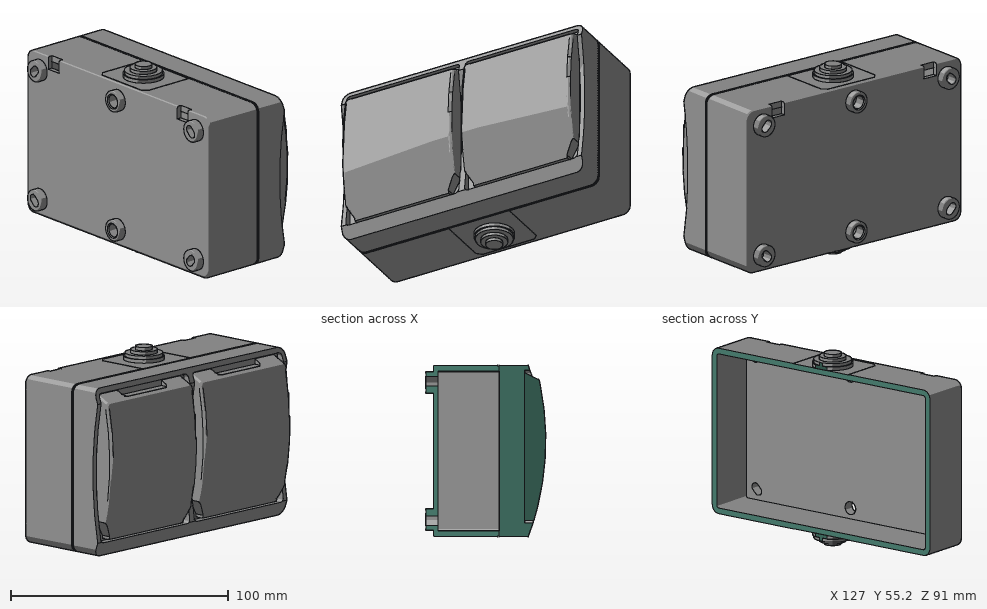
import cadquery as cq
import math


LENGTH = 127
HEIGHT = 79.0
CORNER_RADIUS = 4.1
BACK_EDGE_RADIUS = 1.0
SIDE_WALL = 2.9
BACK_WALL = 2.3
BASE_DEPTH = 29.6
GROOVE_WIDTH = 0.8
GROOVE_DEPTH = 0.4
COVER_BACK = BASE_DEPTH + GROOVE_WIDTH

COVER_EDGE_Y = 43.7
RIDGE_Y = 46.1
RIDGE_Z = 32.6
HOLLOW_Y = 43.0

LID_WIDTH = 57.7
LID_CENTRE_X = 31.4
LID_SEAT_Y = 42.2
LID_PEAK_Y = 51.8
LID_PEAK_Z = 5.1
LID_CURVE_RADIUS = 127
LID_TOP_Z = 32.8
LID_TOP_LEAN = 0.5
LID_BOTTOM_Z = -32.0
LID_CORNER_RADIUS = 2.0
LID_EDGE_RADIUS = 1.3
LID_CUT_TOP_Z = -23.4
LID_CUT_BOTTOM_Z = -30.6
LID_CUT_WIDTH = 4.1
THUMB_NOTCH_WIDTH = 29.5
THUMB_NOTCH_Y = 47
THUMB_NOTCH_Z = 33.5
THUMB_NOTCH_RADIUS = 2.5
LID_GAP = 1.0
RECESS_TOP_Z = 37.1
RECESS_RADIUS = 1.9

FOOT_RADIUS = 5.1
FOOT_HEIGHT = 3.4
FOOT_EDGE_RADIUS = 0.5
FOOT_X = 54.5
FOOT_Z = 31.5
FOOT_HOLE_DEPTH = FOOT_HEIGHT + BACK_WALL
SCREW_HOLE_RADIUS = 3.0
SCREW_HOLE_CHAMFER = 0.5
SLOT_LENGTH = 6.2
SLOT_WIDTH = 4.1
SLOT_ANGLE = 45

ENTRY_Y = 15.5
PANEL_WIDTH = 32.0
PANEL_BOTTOM_Y = 2.3
PANEL_CHAMFER = 2.3
PANEL_DEPTH = 0.1
GROMMET_RADII = (9.4, 8.8, 6.2, 4.0)
GROMMET_SPAN = 91.0
GROMMET_TOP_Z = GROMMET_SPAN / 2
GROMMET_SEAT_Z = HEIGHT / 2 - PANEL_DEPTH
FIRST_STEP_Z = 41.0

NOTCH_X = 45.0
NOTCH_WIDTH = 7.4
NOTCH_BOTTOM_Z = 33.4


def plane_at(y):
    """Plane facing +Y with local axes along -X and Z."""
    return cq.Plane(origin=(0, y, 0), xDir=(-1, 0, 0), normal=(0, 1, 0))


def box_between(x, y, z):
    """Box spanning the given (low, high) ranges."""
    size = [high - low for low, high in (x, y, z)]
    return cq.Workplane("XY").box(*size, centered=False).translate((x[0], y[0], z[0]))


def rounded_block(back, front, inset=0):
    """Enclosure outline, shrunk by the inset, running from back to front in Y."""
    return (
        cq.Workplane(plane_at(back))
        .rect(LENGTH - 2 * inset, HEIGHT - 2 * inset)
        .extrude(front - back)
        .edges("|Y")
        .fillet(CORNER_RADIUS - inset)
    )


def foot(x, z):
    post = cq.Workplane(plane_at(-FOOT_HEIGHT)).circle(FOOT_RADIUS).extrude(FOOT_HEIGHT)
    return post.faces("<Y").edges().fillet(FOOT_EDGE_RADIUS).translate((x, 0, z))


def screw_hole(z):
    hole = cq.Workplane(plane_at(-FOOT_HEIGHT)).circle(SCREW_HOLE_RADIUS).extrude(FOOT_HOLE_DEPTH)
    countersink = (
        cq.Workplane(plane_at(-FOOT_HEIGHT))
        .circle(SCREW_HOLE_RADIUS + SCREW_HOLE_CHAMFER)
        .workplane(offset=SCREW_HOLE_CHAMFER)
        .circle(SCREW_HOLE_RADIUS)
        .loft()
    )
    return hole.union(countersink).translate((0, 0, z))


def slanted_slot(x_side, z_side):
    """Slot lying across the diagonal that points to its own corner."""
    slot = (
        cq.Workplane(plane_at(-FOOT_HEIGHT))
        .slot2D(SLOT_LENGTH, SLOT_WIDTH, x_side * z_side * SLOT_ANGLE)
        .extrude(FOOT_HOLE_DEPTH)
    )
    return slot.translate((x_side * FOOT_X, 0, z_side * FOOT_Z))


def entry_panel():
    """Shallow recess around the upper cable entry, open towards the cover."""
    panel = box_between(
        (-PANEL_WIDTH / 2, PANEL_WIDTH / 2),
        (PANEL_BOTTOM_Y, COVER_BACK),
        (GROMMET_SEAT_Z, HEIGHT / 2),
    )
    return panel.edges("|Z and <Y").chamfer(PANEL_CHAMFER)


def clip_notch(x):
    """Cut through the back wall, leaving a shelf in the side wall beyond the cavity."""
    return box_between(
        (x - NOTCH_WIDTH / 2, x + NOTCH_WIDTH / 2),
        (0, BACK_WALL),
        (NOTCH_BOTTOM_Z, HEIGHT / 2),
    )


def make_base():
    base = rounded_block(0, BASE_DEPTH).faces("<Y").edges().fillet(BACK_EDGE_RADIUS)
    base = base.union(rounded_block(BASE_DEPTH, COVER_BACK, GROOVE_DEPTH))
    base = base.cut(rounded_block(BACK_WALL, COVER_BACK, SIDE_WALL))
    for z_side in (-1, 1):
        for x in (-FOOT_X, 0, FOOT_X):
            base = base.union(foot(x, z_side * FOOT_Z))
        base = base.cut(screw_hole(z_side * FOOT_Z))
        for x_side in (-1, 1):
            base = base.cut(slanted_slot(x_side, z_side))
    panel = entry_panel()
    base = base.cut(panel).cut(panel.mirror("XY"))
    for x in (-NOTCH_X, NOTCH_X):
        base = base.cut(clip_notch(x))
    return base


def lid_recess(x):
    recess = box_between(
        (x - LID_WIDTH / 2 - LID_GAP, x + LID_WIDTH / 2 + LID_GAP),
        (LID_SEAT_Y, LID_PEAK_Y),
        (LID_BOTTOM_Z - LID_GAP, RECESS_TOP_Z),
    )
    return recess.edges("|Y").fillet(RECESS_RADIUS)


def make_cover():
    profile = (
        cq.Workplane("YZ")
        .moveTo(COVER_BACK, -HEIGHT / 2)
        .lineTo(COVER_EDGE_Y, -HEIGHT / 2)
        .lineTo(RIDGE_Y, -RIDGE_Z)
        .threePointArc((HOLLOW_Y, 0), (RIDGE_Y, RIDGE_Z))
        .lineTo(COVER_EDGE_Y, HEIGHT / 2)
        .lineTo(COVER_BACK, HEIGHT / 2)
        .close()
        .extrude(LENGTH / 2, both=True)
    )
    cover = profile.intersect(rounded_block(COVER_BACK, RIDGE_Y))
    for x in (-LID_CENTRE_X, LID_CENTRE_X):
        cover = cover.cut(lid_recess(x))
    return cover


def dome_y(z):
    """Depth of the domed lid face at height z."""
    return LID_PEAK_Y - LID_CURVE_RADIUS + math.sqrt(LID_CURVE_RADIUS**2 - (z - LID_PEAK_Z) ** 2)


def lid_corner_cut():
    """Prism that slants off the lower corner on the +X side of a lid."""
    side = LID_WIDTH / 2
    return (
        cq.Workplane(plane_at(LID_SEAT_Y))
        .polyline([
            (-side, LID_CUT_TOP_Z),
            (-side + LID_CUT_WIDTH, LID_CUT_BOTTOM_Z),
            (-side + LID_CUT_WIDTH, LID_BOTTOM_Z),
            (-side, LID_BOTTOM_Z),
        ])
        .close()
        .extrude(LID_PEAK_Y - LID_SEAT_Y)
    )


def thumb_notch():
    """Upright flat cut into the leaning upper face, with rounded front corners."""
    notch = box_between(
        (-THUMB_NOTCH_WIDTH / 2, THUMB_NOTCH_WIDTH / 2),
        (LID_SEAT_Y, THUMB_NOTCH_Y),
        (THUMB_NOTCH_Z, RECESS_TOP_Z),
    )
    return notch.edges("|Z and >Y").fillet(THUMB_NOTCH_RADIUS)


def make_lid(x):
    top_y = dome_y(LID_TOP_Z)
    lid = (
        cq.Workplane("YZ")
        .moveTo(LID_SEAT_Y, LID_BOTTOM_Z)
        .lineTo(dome_y(LID_BOTTOM_Z), LID_BOTTOM_Z)
        .threePointArc((LID_PEAK_Y, LID_PEAK_Z), (top_y, LID_TOP_Z))
        .lineTo(LID_SEAT_Y, LID_TOP_Z + LID_TOP_LEAN * (top_y - LID_SEAT_Y))
        .close()
        .extrude(LID_WIDTH / 2, both=True)
    )
    upper_corners = cq.selectors.BoxSelector(
        (-LENGTH, LID_SEAT_Y, LID_TOP_Z), (LENGTH, LID_PEAK_Y, HEIGHT)
    )
    lid = lid.edges(upper_corners).edges("not |X").fillet(LID_CORNER_RADIUS)
    lid = lid.faces(">Y").edges("not <Z").fillet(LID_EDGE_RADIUS)
    corner_cut = lid_corner_cut()
    lid = lid.cut(corner_cut).cut(corner_cut.mirror("YZ"))
    return lid.cut(thumb_notch()).translate((x, 0, 0))


def make_grommet(side):
    """Stepped round grommet on the upper (side = 1) or lower (side = -1) cable entry."""
    step_height = (GROMMET_TOP_Z - FIRST_STEP_Z) / (len(GROMMET_RADII) - 1)
    grommet = cq.Workplane("XY")
    for index, radius in enumerate(GROMMET_RADII):
        top = FIRST_STEP_Z + index * step_height
        tier = cq.Workplane("XY", origin=(0, ENTRY_Y, GROMMET_SEAT_Z)).circle(radius)
        grommet = grommet.union(tier.extrude(top - GROMMET_SEAT_Z))
    return grommet if side > 0 else grommet.mirror("XY")


base = make_base()
cover = make_cover()
lids = [make_lid(x) for x in (-LID_CENTRE_X, LID_CENTRE_X)]
grommets = [make_grommet(side) for side in (-1, 1)]

result = cq.Compound.makeCompound([
    base.val(),
    cover.val(),
    *[lid.val() for lid in lids],
    *[grommet.val() for grommet in grommets],
])